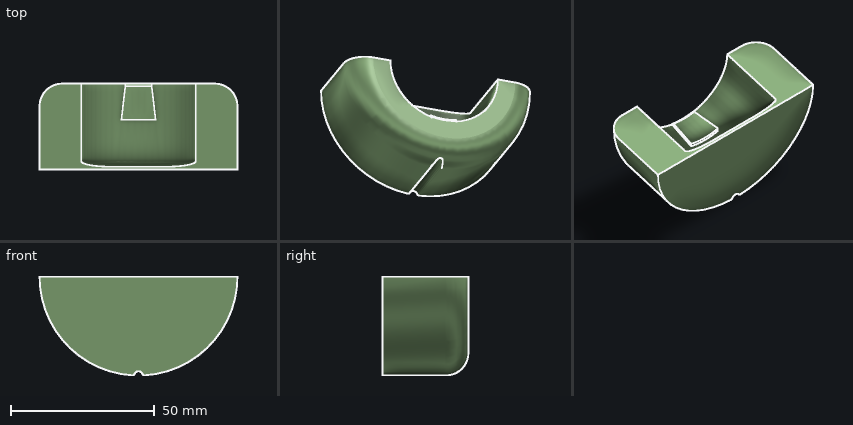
import cadquery as cq
import math

outer_radius = 34.5
length = 30.0
back_fillet = 8.0

bore_radius = 20.0
floor_edge_depth = 2.0
floor_edge_width = 10.0
front_wall = 1.0
floor_edge_start = front_wall + floor_edge_depth

pad_height = 1.2
pad_length = 12.6
pad_chamfer = 1.0
pad_front_width = 11.9
pad_back_width = 9.2

groove_radius = 1.5
groove_lip_radius = 0.8


def half_body():
    """Half cylinder with its back rim rounded."""
    cylinder = cq.Workplane("XZ").circle(outer_radius).extrude(-length)
    rounded = cylinder.faces(">Y").edges().fillet(back_fillet)
    lower_half = cq.Workplane("XY").box(
        2 * outer_radius, length, outer_radius, centered=(True, False, False)
    ).translate((0, 0, -outer_radius))
    return rounded.intersect(lower_half)


def blind_bore():
    """Cylinder closed at the front by a flat floor with an elliptical edge."""
    return (
        cq.Workplane("YZ")
        .moveTo(length, 0)
        .lineTo(length, -bore_radius)
        .lineTo(floor_edge_start, -bore_radius)
        .ellipseArc(floor_edge_depth, floor_edge_width, 180, 270, startAtCurrent=True, sense=-1)
        .lineTo(front_wall, 0)
        .close()
        .revolve(360, (0, 0, 0), (1, 0, 0))
    )


def tapered_pad():
    """Ring segment with a chamfered back edge, narrowing toward the back."""
    inner_radius = bore_radius - pad_height
    root_radius = bore_radius + pad_height
    pad_front = length - pad_length
    ring = (
        cq.Workplane("YZ")
        .moveTo(pad_front, -root_radius)
        .lineTo(pad_front, -inner_radius)
        .lineTo(length - pad_chamfer, -inner_radius)
        .lineTo(length, -inner_radius - pad_chamfer)
        .lineTo(length, -root_radius)
        .close()
        .revolve(360, (0, 0, 0), (1, 0, 0))
    )
    taper_end = length - pad_chamfer
    plan = (
        cq.Workplane("XY")
        .moveTo(-pad_front_width / 2, pad_front)
        .lineTo(pad_front_width / 2, pad_front)
        .lineTo(pad_back_width / 2, taper_end)
        .lineTo(pad_back_width / 2, length)
        .lineTo(-pad_back_width / 2, length)
        .lineTo(-pad_back_width / 2, taper_end)
        .close()
        .extrude(-root_radius)
    )
    return ring.intersect(plan)


def bottom_groove():
    """Full-length round groove whose lips blend into the outer surface."""
    lip_distance = outer_radius - groove_lip_radius
    groove_distance = groove_radius + groove_lip_radius
    lip_z = -(outer_radius**2 + lip_distance**2 - groove_distance**2) / (2 * outer_radius)
    lip_x = math.sqrt(lip_distance**2 - lip_z**2)

    outer_scale = outer_radius / lip_distance
    outer_x = lip_x * outer_scale
    outer_z = lip_z * outer_scale

    groove_share = groove_radius / groove_distance
    inner_x = lip_x * groove_share
    inner_z = -outer_radius + (lip_z + outer_radius) * groove_share

    start_angle = math.atan2(outer_z - lip_z, outer_x - lip_x)
    end_angle = math.atan2(inner_z - lip_z, inner_x - lip_x)
    middle_angle = (start_angle + end_angle) / 2
    middle_x = lip_x + groove_lip_radius * math.cos(middle_angle)
    middle_z = lip_z + groove_lip_radius * math.sin(middle_angle)

    clearance_z = -outer_radius - groove_radius
    return (
        cq.Workplane("XZ")
        .moveTo(outer_x, outer_z)
        .threePointArc((middle_x, middle_z), (inner_x, inner_z))
        .threePointArc((0, -outer_radius + groove_radius), (-inner_x, inner_z))
        .threePointArc((-middle_x, middle_z), (-outer_x, outer_z))
        .lineTo(-outer_x, clearance_z)
        .lineTo(outer_x, clearance_z)
        .close()
        .extrude(-length)
    )


result = half_body().cut(blind_bore()).union(tapered_pad()).cut(bottom_groove())